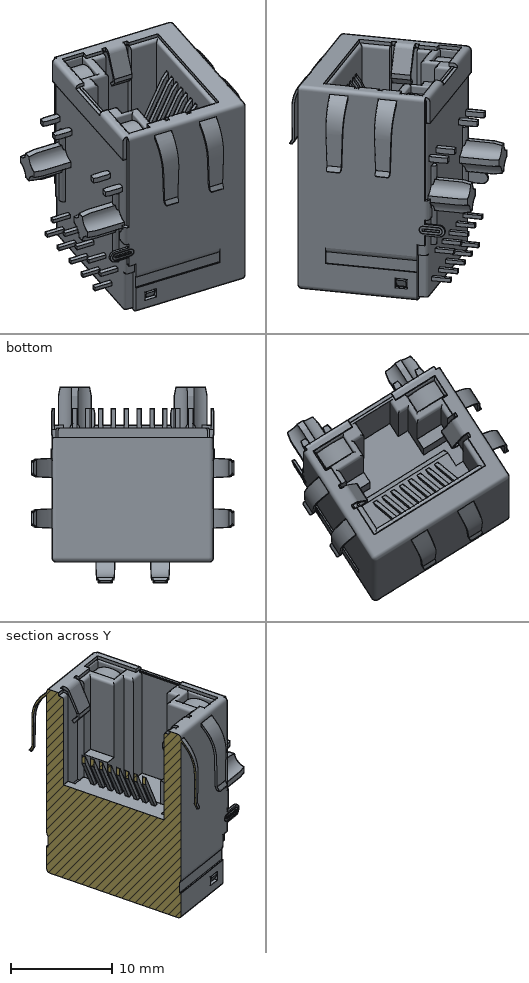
import cadquery as cq
import math


SELECT_MARGIN = 0.05

HEIGHT = 21.35
HALF_WIDTH = 7.96
BACK_Y = 13.25
SHIELD_FRONT_Y = 0.17
WALL = 0.37
BEND_RADIUS = 0.43
NOTCH_CUT_HEIGHT = 5.9
NOTCH_CUT_Y = 0.96

FLAP_HALF_WIDTH = 7.53
FLAP_FRONT_Y = -0.26
FLAP_BOTTOM_Z = 18.64
FLAP_NOTCH_HALF_WIDTH = 2.53

HOUSING_TOP_Z = HEIGHT - WALL
HOUSING_BOTTOM_Z = 0.26
HOUSING_HALF_WIDTH = HALF_WIDTH - WALL
HOUSING_STEP_Z = 4.72
HOUSING_LOWER_HALF_WIDTH = 7.35
HOUSING_EDGE_RADIUS = 0.27

WINDOW_HALF_WIDTH = 6.49
WINDOW_BACK_Y = 10.92
LED_WINDOW_HALF_WIDTH = 7.09
LED_WINDOW_FRONT_Y = 0.62
LED_WINDOW_BACK_Y = 2.94

CAVITY_HALF_WIDTH = 5.92
CAVITY_BACK_Y = 10.47
CAVITY_SHOULDER_Y = 3.66
CAVITY_MIDDLE_HALF_WIDTH = 3.12
CAVITY_MIDDLE_Y = 1.94
CAVITY_LATCH_HALF_WIDTH = 2.0
CAVITY_FRONT_Y = 0.37
MOUTH_RADIUS = 0.29
FLOOR_Z = 9.35
STEP_Z = 10.85
STEP_TOP_Y = 6.15
STEP_FOOT_Y = 5.5
LEDGE_Z = 12.5
LEDGE_BACK_Y = 4.83

CONTACT_COUNT = 8
CONTACT_PITCH = 1.02
CONTACT_WIDTH = 0.42
CONTACT_THICKNESS = 0.4
CONTACT_ROOT = (CAVITY_BACK_Y, 18.75)
CONTACT_KNEE = (9.93, 18.05)
CONTACT_TIP = (6.44, STEP_Z)

TAB_FRONT_Y = 5.26
TAB_BACK_Y = 7.23
TAB_THICKNESS = 0.25
TAB_BEND_MIDDLE = (6.3, 21.27)
TAB_BEND_END = (6.04, 21.0)
TAB_NOSE_X = 4.92
TAB_NOSE_TOP_Z = 18.7
TAB_NOSE_BOTTOM_Z = 18.2
TAB_FREE_END = (5.5, 17.5)
RELIEF_FRONT_Y = 4.86
RELIEF_BACK_Y = 7.68
RELIEF_HALF_WIDTH = 6.82
TAB_POCKET_HALF_WIDTH = 6.65
TAB_SLOT_INNER_X = 5.1

LED_INNER_X = 3.73
LED_OUTER_X = 6.9
LED_FRONT_Y = 0.84
LED_BACK_Y = 2.74
LED_FLOOR_Z = 19.0
LED_LIP_RADIUS = 0.17
LENS_EDGE_Z = 20.1
LENS_CROWN_Z = 20.6

SPRING_THICKNESS = 0.25
SPRING_REACH = 1.76
SPRING_TIP_REACH = 2.04
SPRING_ARC_RADIUS = 4.24
SPRING_ARC_ANGLE = 45
SPRING_ARC_END_Z = 17.34
SPRING_KICK_Z = 13.99
SPRING_TIP_Z = 13.49
SPRING_TOP_HALF_WIDTH = 0.955
SPRING_TIP_HALF_WIDTH = 0.71
SPRING_TIP_RADIUS = 0.3
SIDE_SPRING_Y = (3.96, 8.94)
BACK_SPRING_X = (-2.7, 2.7)

PEG_X = 5.71
PEG_Z = 10.62
PEG_HALF_SIZE = 1.63
PEG_FLUTE_OFFSET = 1.62
PEG_FLUTE_RADIUS = 1.29
PEG_END_Y = -4.01
PEG_TAPER_LENGTH = 0.88
PEG_TAPER_DEPTH = 0.17
RIB_RADIUS = 0.47
RIB_AXIS_Y = 0.02
RIB_BOTTOM_Z = 5.39
RIB_TOP_Z = 13.65

PIN_END_Y = -1.9
PIN_ROOT_DEPTH = 0.5
SIGNAL_WIDTH = 0.45
SIGNAL_HEIGHT = 0.4
SIGNAL_PITCH = 2.54
SIGNALS_PER_ROW = 5
SIGNAL_UPPER_Z = 4.25
SIGNAL_LOWER_Z = SIGNAL_UPPER_Z - SIGNAL_PITCH
LED_PIN_X = (4.09, 6.66)
LED_PIN_Z = 14.69
LED_PIN_HEIGHT = 0.55
LED_PIN_HALF_WIDTH = 0.35
LED_PIN_TIP_HALF_WIDTH = 0.26
LED_PIN_SHOULDER_Y = (-0.34, -1.46)

CLIP_BOTTOM_Z = 8.57
CLIP_TOP_Z = 10.63
CLIP_RADIUS = 0.4
CLIP_NECK_X = 7.35
CLIP_NECK_Z = 10.16
CLIP_FOOT_X = 6.82
CLIP_FOOT_Z = 9.48

LEG_Z = 7.55
LEG_WIDTH = 1.2
LEG_INNER_X = 7.72
LEG_RIM_X = 8.03
LEG_ROOT_Y = 0.7
LEG_RIDGE_WIDTH = 0.78
LEG_RIDGE_END_Y = -1.65
LEG_GROOVE_WIDTH = 0.24
LEG_GROOVE_DEPTH = 0.12

GROOVE_BACK_Y = 10.3
GROOVE_BOTTOM_Z = 3.0
GROOVE_SLOPE_Z = 4.19
GROOVE_BREAK_Z = 4.4
GROOVE_BREAK_DEPTH = 0.05
GROOVE_TOP_Z = 4.64
GROOVE_DEPTH = 0.16
LATCH_FRONT_Y = 1.96
LATCH_BACK_Y = 3.21
LATCH_BOTTOM_Z = 1.17
LATCH_TOP_Z = 2.16
LATCH_GAP = 0.13
LATCH_TIP_X = 8.05
LATCH_FOOT_X = 7.72


def block(x0, x1, y0, y1, z0, z1):
    """Box given by its limits along each axis."""
    return cq.Workplane("XY").box(x1 - x0, y1 - y0, z1 - z0, centered=False).translate((x0, y0, z0))


def wide_block(half_width, y0, y1, z0, z1):
    """Box centred on X."""
    return block(-half_width, half_width, y0, y1, z0, z1)


def both_sides(shape):
    """The shape together with its mirror image across the YZ plane."""
    return shape.union(shape.mirror("YZ"))


def xz_prism(points, y0, y1):
    """Prism with an outline in X and Z, running from y0 to y1."""
    return cq.Workplane("XZ", origin=(0, y1, 0)).polyline(points).close().extrude(y1 - y0)


def yz_prism(points, x0, x1):
    """Prism with an outline in Y and Z, running from x0 to x1."""
    return cq.Workplane("YZ", origin=(x0, 0, 0)).polyline(points).close().extrude(x1 - x0)


def make_shell():
    """Solid outer form: shield can, front flap and the housing that fills them."""
    can = wide_block(HALF_WIDTH, SHIELD_FRONT_Y, BACK_Y, 0, HEIGHT)
    can = can.edges("(|X and >Y) or (|Y and >Z) or (|Y and <Z) or (|Z and >Y)").fillet(BEND_RADIUS)
    can = can.cut(wide_block(HALF_WIDTH, SHIELD_FRONT_Y, NOTCH_CUT_Y, 0, NOTCH_CUT_HEIGHT))

    flap = wide_block(FLAP_HALF_WIDTH, FLAP_FRONT_Y, NOTCH_CUT_Y, FLAP_BOTTOM_Z, HEIGHT)
    flap = flap.edges("|X and <Y and >Z").fillet(BEND_RADIUS)

    housing_back_y = BACK_Y - WALL
    upper = wide_block(HOUSING_HALF_WIDTH, 0, housing_back_y, HOUSING_STEP_Z, HOUSING_TOP_Z)
    lower = wide_block(HOUSING_LOWER_HALF_WIDTH, 0, housing_back_y, HOUSING_BOTTOM_Z, HOUSING_STEP_Z)
    upper = upper.edges("|Z and <Y").fillet(HOUSING_EDGE_RADIUS)
    lower = lower.edges("|Z and <Y").fillet(HOUSING_EDGE_RADIUS)
    return can.union(flap).union(upper).union(lower)


def make_windows():
    """Openings through the shield at the mouth, down to the top of the housing."""
    main = wide_block(WINDOW_HALF_WIDTH, LED_WINDOW_BACK_Y, WINDOW_BACK_Y, HOUSING_TOP_Z, HEIGHT)
    leds = wide_block(LED_WINDOW_HALF_WIDTH, LED_WINDOW_FRONT_Y, LED_WINDOW_BACK_Y, HOUSING_TOP_Z, HEIGHT)
    notch = wide_block(FLAP_NOTCH_HALF_WIDTH, FLAP_FRONT_Y, LED_WINDOW_BACK_Y, HOUSING_TOP_Z, HEIGHT)
    flap_back_y = FLAP_FRONT_Y + WALL
    flap_notch = wide_block(
        FLAP_NOTCH_HALF_WIDTH, FLAP_FRONT_Y, flap_back_y, HEIGHT - BEND_RADIUS, HEIGHT
    )
    windows = main.union(leds).union(notch).union(flap_notch)
    for y0, y1 in ((RELIEF_FRONT_Y, TAB_FRONT_Y), (TAB_BACK_Y, RELIEF_BACK_Y)):
        windows = windows.union(wide_block(RELIEF_HALF_WIDTH, y0, y1, HOUSING_TOP_Z, HEIGHT))
    return windows


def make_cavity():
    """Plug cavity with stepped sides, from the floor to the top of the housing."""
    main = wide_block(CAVITY_HALF_WIDTH, CAVITY_SHOULDER_Y, CAVITY_BACK_Y, FLOOR_Z, HOUSING_TOP_Z)
    middle = wide_block(CAVITY_MIDDLE_HALF_WIDTH, CAVITY_MIDDLE_Y, CAVITY_BACK_Y, FLOOR_Z, HOUSING_TOP_Z)
    latch = wide_block(CAVITY_LATCH_HALF_WIDTH, CAVITY_FRONT_Y, CAVITY_BACK_Y, FLOOR_Z, HOUSING_TOP_Z)
    return main.union(middle).union(latch)


def make_mouth():
    """Cutter for the plug cavity, less its floor step and two shoulder ledges."""
    step = yz_prism(
        [
            (STEP_FOOT_Y, FLOOR_Z),
            (STEP_TOP_Y, STEP_Z),
            (CAVITY_BACK_Y, STEP_Z),
            (CAVITY_BACK_Y, FLOOR_Z),
        ],
        -CAVITY_HALF_WIDTH,
        CAVITY_HALF_WIDTH,
    )
    ledge = block(
        CAVITY_MIDDLE_HALF_WIDTH, CAVITY_HALF_WIDTH, CAVITY_SHOULDER_Y, LEDGE_BACK_Y, FLOOR_Z, LEDGE_Z
    )
    return make_cavity().cut(step).cut(both_sides(ledge))


def make_tab_pockets():
    """Pockets in the cavity side walls and floor step, leaving room behind the contact tabs."""
    wall_pocket = block(
        CAVITY_HALF_WIDTH, TAB_POCKET_HALF_WIDTH, RELIEF_FRONT_Y, RELIEF_BACK_Y, FLOOR_Z, HOUSING_TOP_Z
    )
    step_slot = block(
        TAB_SLOT_INNER_X, TAB_POCKET_HALF_WIDTH, STEP_FOOT_Y, RELIEF_BACK_Y, FLOOR_Z, STEP_Z
    )
    return both_sides(wall_pocket.union(step_slot))


def round_mouth_lip(body):
    """Round the edges where the cavity walls meet the top of the housing."""
    bottom_z = HOUSING_TOP_Z - SELECT_MARGIN
    top_z = HOUSING_TOP_Z + SELECT_MARGIN
    back_y = CAVITY_BACK_Y + SELECT_MARGIN
    wide_x = CAVITY_HALF_WIDTH + SELECT_MARGIN
    narrow_x = CAVITY_MIDDLE_HALF_WIDTH + SELECT_MARGIN
    wide_edges = cq.selectors.BoxSelector(
        (-wide_x, CAVITY_SHOULDER_Y - SELECT_MARGIN, bottom_z), (wide_x, back_y, top_z)
    )
    narrow_edges = cq.selectors.BoxSelector(
        (-narrow_x, CAVITY_FRONT_Y + SELECT_MARGIN, bottom_z), (narrow_x, back_y, top_z)
    )
    return body.edges(wide_edges + narrow_edges).fillet(MOUTH_RADIUS)


def make_led_pockets():
    """Straight pockets for the LEDs, either side of the plug cavity."""
    pocket = block(LED_INNER_X, LED_OUTER_X, LED_FRONT_Y, LED_BACK_Y, LED_FLOOR_Z, HOUSING_TOP_Z)
    return both_sides(pocket)


def round_led_lips(body):
    """Round the upper edges of the LED pockets."""
    for low_x, high_x in ((LED_INNER_X, LED_OUTER_X), (-LED_OUTER_X, -LED_INNER_X)):
        lip_edges = cq.selectors.BoxSelector(
            (low_x - SELECT_MARGIN, LED_FRONT_Y - SELECT_MARGIN, HOUSING_TOP_Z - SELECT_MARGIN),
            (high_x + SELECT_MARGIN, LED_BACK_Y + SELECT_MARGIN, HOUSING_TOP_Z + SELECT_MARGIN),
        )
        body = body.edges(lip_edges).fillet(LED_LIP_RADIUS)
    return body


def make_lenses():
    """Crowned LED lenses filling the pockets."""
    half_width = (LED_OUTER_X - LED_INNER_X) / 2
    middle_x = (LED_OUTER_X + LED_INNER_X) / 2
    lens = (
        cq.Workplane("XZ", origin=(middle_x, LED_BACK_Y, 0))
        .moveTo(-half_width, LED_FLOOR_Z)
        .lineTo(-half_width, LENS_EDGE_Z)
        .threePointArc((0, LENS_CROWN_Z), (half_width, LENS_EDGE_Z))
        .lineTo(half_width, LED_FLOOR_Z)
        .close()
        .extrude(LED_BACK_Y - LED_FRONT_Y)
    )
    return both_sides(lens)


def make_contacts():
    """Row of bent contact wires leaning from the back wall down to the floor step."""
    (root_y, root_z), (knee_y, knee_z), (tip_y, tip_z) = CONTACT_ROOT, CONTACT_KNEE, CONTACT_TIP
    outline = [
        (root_y, root_z),
        (knee_y, knee_z),
        (tip_y, tip_z),
        (tip_y + CONTACT_THICKNESS, tip_z),
        (knee_y + CONTACT_THICKNESS, knee_z - CONTACT_THICKNESS / 2),
        (root_y, knee_z - CONTACT_THICKNESS / 2),
    ]
    wire = yz_prism(outline, -CONTACT_WIDTH / 2, CONTACT_WIDTH / 2)
    contacts = cq.Workplane("XY")
    for i in range(CONTACT_COUNT):
        x = (i - (CONTACT_COUNT - 1) / 2) * CONTACT_PITCH
        contacts = contacts.add(wire.translate((x, 0, 0)))
    return contacts.combine()


def make_tabs():
    """Shield tabs folded down into the cavity, with the free end bent back outward."""
    t = TAB_THICKNESS
    tab = (
        cq.Workplane("XZ", origin=(0, TAB_BACK_Y, 0))
        .moveTo(RELIEF_HALF_WIDTH, HEIGHT)
        .lineTo(WINDOW_HALF_WIDTH, HEIGHT)
        .threePointArc(TAB_BEND_MIDDLE, TAB_BEND_END)
        .lineTo(TAB_NOSE_X, TAB_NOSE_TOP_Z)
        .lineTo(TAB_NOSE_X, TAB_NOSE_BOTTOM_Z)
        .lineTo(*TAB_FREE_END)
        .lineTo(TAB_FREE_END[0] + t, TAB_FREE_END[1] + t)
        .lineTo(TAB_NOSE_X + t, TAB_NOSE_BOTTOM_Z + t / 2)
        .lineTo(TAB_NOSE_X + t, TAB_NOSE_TOP_Z)
        .lineTo(TAB_BEND_END[0] + t, TAB_BEND_END[1] - t / 2)
        .lineTo(RELIEF_HALF_WIDTH, HOUSING_TOP_Z)
        .close()
        .extrude(TAB_BACK_Y - TAB_FRONT_Y)
    )
    return both_sides(tab)


def make_spring():
    """Grounding spring standing out along +X from a wall at X = 0, centred on Y = 0."""
    angle = math.radians(SPRING_ARC_ANGLE)
    inner_radius = SPRING_ARC_RADIUS - SPRING_THICKNESS
    centre_x = SPRING_REACH - SPRING_ARC_RADIUS

    def arc_point(radius, turn):
        return (centre_x + radius * math.cos(turn), SPRING_ARC_END_Z + radius * math.sin(turn))

    outer_start = arc_point(SPRING_ARC_RADIUS, angle)
    inner_start = arc_point(inner_radius, angle)
    root_run = SPRING_REACH - SPRING_ARC_RADIUS * (1 - math.cos(angle)) + WALL / 2
    root_rise = root_run / math.tan(angle)
    root_outer = (outer_start[0] - root_run, outer_start[1] + root_rise)
    root_inner = (inner_start[0] - root_run, inner_start[1] + root_rise)
    inner_x = SPRING_REACH - SPRING_THICKNESS
    kick = math.atan2(SPRING_KICK_Z - SPRING_TIP_Z, SPRING_TIP_REACH - SPRING_REACH)
    tip_inner = (
        SPRING_TIP_REACH - SPRING_THICKNESS * math.sin(kick),
        SPRING_TIP_Z - SPRING_THICKNESS * math.cos(kick),
    )
    inner_kick_z = SPRING_KICK_Z - SPRING_THICKNESS * math.tan((math.pi / 2 - kick) / 2)
    top_z = root_outer[1]
    tip_z = tip_inner[1]

    strip = (
        cq.Workplane("XZ", origin=(0, SPRING_TOP_HALF_WIDTH, 0))
        .moveTo(*root_outer)
        .lineTo(*outer_start)
        .threePointArc(arc_point(SPRING_ARC_RADIUS, angle / 2), (SPRING_REACH, SPRING_ARC_END_Z))
        .lineTo(SPRING_REACH, SPRING_KICK_Z)
        .lineTo(SPRING_TIP_REACH, SPRING_TIP_Z)
        .lineTo(*tip_inner)
        .lineTo(inner_x, inner_kick_z)
        .lineTo(inner_x, SPRING_ARC_END_Z)
        .threePointArc(arc_point(inner_radius, angle / 2), inner_start)
        .lineTo(*root_inner)
        .close()
        .extrude(2 * SPRING_TOP_HALF_WIDTH)
    )
    taper = yz_prism(
        [
            (-SPRING_TOP_HALF_WIDTH, top_z),
            (-SPRING_TIP_HALF_WIDTH, tip_z),
            (SPRING_TIP_HALF_WIDTH, tip_z),
            (SPRING_TOP_HALF_WIDTH, top_z),
        ],
        -SPRING_TIP_REACH,
        SPRING_TIP_REACH,
    )
    taper = taper.edges("|X and <Z").fillet(SPRING_TIP_RADIUS)
    return strip.intersect(taper)


def add_springs(body):
    """Two grounding springs on each side wall and two on the back wall."""
    spring = make_spring()
    for y in SIDE_SPRING_Y:
        body = body.union(both_sides(spring.translate((HALF_WIDTH, y, 0))))
    back_spring = spring.rotate((0, 0, 0), (0, 0, 1), 90)
    for x in BACK_SPRING_X:
        body = body.union(back_spring.translate((x, BACK_Y, 0)))
    return body


def make_peg():
    """Fluted locating peg with tapered end, together with its stand-off rib."""
    size = 2 * PEG_HALF_SIZE
    end_size = size - 2 * PEG_TAPER_DEPTH
    taper_y = PEG_END_Y + PEG_TAPER_LENGTH
    shank = cq.Workplane("XZ").rect(size, size).extrude(-taper_y)
    end = (
        cq.Workplane("XZ", origin=(0, taper_y, 0))
        .rect(size, size)
        .workplane(offset=PEG_TAPER_LENGTH)
        .rect(end_size, end_size)
        .loft(combine=True)
    )
    corner_pitch = 2 * PEG_FLUTE_OFFSET
    flutes = (
        cq.Workplane("XZ")
        .rarray(corner_pitch, corner_pitch, 2, 2)
        .circle(PEG_FLUTE_RADIUS)
        .extrude(-PEG_END_Y)
    )
    peg = shank.union(end).cut(flutes).translate((PEG_X, 0, PEG_Z))
    rib = (
        cq.Workplane("XY", origin=(PEG_X, RIB_AXIS_Y, RIB_BOTTOM_Z))
        .circle(RIB_RADIUS)
        .extrude(RIB_TOP_Z - RIB_BOTTOM_Z)
    )
    return peg.union(rib)


def make_signal_pins():
    """Two staggered rows of straight signal pins."""
    half_width = SIGNAL_WIDTH / 2
    half_height = SIGNAL_HEIGHT / 2
    pin = block(-half_width, half_width, PIN_END_Y, PIN_ROOT_DEPTH, -half_height, half_height)
    pins = cq.Workplane("XY")
    for i in range(SIGNALS_PER_ROW):
        x = PEG_X - i * SIGNAL_PITCH
        pins = pins.add(pin.translate((x, 0, SIGNAL_UPPER_Z)))
        pins = pins.add(pin.translate((-x, 0, SIGNAL_LOWER_Z)))
    return pins.combine()


def make_led_pins():
    """LED pins, widest between their two shoulders."""
    near_y, far_y = LED_PIN_SHOULDER_Y
    half_outline = [
        (LED_PIN_TIP_HALF_WIDTH, PIN_ROOT_DEPTH),
        (LED_PIN_TIP_HALF_WIDTH, 0),
        (LED_PIN_HALF_WIDTH, near_y),
        (LED_PIN_HALF_WIDTH, far_y),
        (LED_PIN_TIP_HALF_WIDTH, PIN_END_Y),
    ]
    outline = half_outline + [(-x, y) for x, y in reversed(half_outline)]
    pin = (
        cq.Workplane("XY", origin=(0, 0, LED_PIN_Z - LED_PIN_HEIGHT / 2))
        .polyline(outline)
        .close()
        .extrude(LED_PIN_HEIGHT)
    )
    pins = cq.Workplane("XY")
    for x in LED_PIN_X:
        pins = pins.add(pin.translate((x, 0, 0)))
    return both_sides(pins.combine())


def make_clips():
    """Shield tabs wrapped round the side edges and onto the board face."""
    outline = [
        (HALF_WIDTH, CLIP_TOP_Z),
        (CLIP_NECK_X, CLIP_TOP_Z),
        (CLIP_NECK_X, CLIP_NECK_Z),
        (CLIP_FOOT_X, CLIP_FOOT_Z),
        (CLIP_FOOT_X, CLIP_BOTTOM_Z),
        (HALF_WIDTH, CLIP_BOTTOM_Z),
    ]
    clip = xz_prism(outline, FLAP_FRONT_Y, SHIELD_FRONT_Y)
    return both_sides(clip.edges("|Z and >X and <Y").fillet(CLIP_RADIUS))


def slot_bar(x0, x1, width, y0, y1):
    """Round-ended bar along Y, centred on the ground leg height."""
    return (
        cq.Workplane("YZ", origin=(x0, (y0 + y1) / 2, LEG_Z))
        .slot2D(y1 - y0, width)
        .extrude(x1 - x0)
    )


def make_ground_legs():
    """Round-ended shield legs, each with a raised rim around a shallow groove."""
    rim_width = (LEG_RIDGE_WIDTH - LEG_GROOVE_WIDTH) / 2
    leg = slot_bar(LEG_INNER_X, HALF_WIDTH, LEG_WIDTH, PIN_END_Y, LEG_ROOT_Y + LEG_WIDTH)
    ridge = slot_bar(HALF_WIDTH, LEG_RIM_X, LEG_RIDGE_WIDTH, LEG_RIDGE_END_Y, LEG_ROOT_Y)
    groove = slot_bar(
        LEG_RIM_X - LEG_GROOVE_DEPTH,
        LEG_RIM_X,
        LEG_GROOVE_WIDTH,
        LEG_RIDGE_END_Y + rim_width,
        LEG_ROOT_Y - rim_width,
    )
    return both_sides(leg.union(ridge).cut(groove))


def make_side_grooves():
    """Shallow grooves in the side walls, open to the board side, with a sloped upper flank."""
    floor_x = HALF_WIDTH - GROOVE_DEPTH
    outline = [
        (HALF_WIDTH, GROOVE_BOTTOM_Z),
        (floor_x, GROOVE_BOTTOM_Z),
        (floor_x, GROOVE_SLOPE_Z),
        (HALF_WIDTH - GROOVE_BREAK_DEPTH, GROOVE_BREAK_Z),
        (HALF_WIDTH, GROOVE_TOP_Z),
    ]
    return both_sides(xz_prism(outline, NOTCH_CUT_Y, GROOVE_BACK_Y))


def make_latch_windows():
    """Windows through the shield sides in which the housing latches sit."""
    window = block(
        HOUSING_HALF_WIDTH, HALF_WIDTH, LATCH_FRONT_Y, LATCH_BACK_Y, LATCH_BOTTOM_Z, LATCH_TOP_Z
    )
    return both_sides(window)


def make_latches():
    """Housing latches: wedges rising toward +Z."""
    bottom_z = LATCH_BOTTOM_Z + LATCH_GAP
    top_z = LATCH_TOP_Z - LATCH_GAP
    outline = [
        (HOUSING_HALF_WIDTH, bottom_z),
        (LATCH_FOOT_X, bottom_z),
        (LATCH_TIP_X, top_z),
        (HOUSING_HALF_WIDTH, top_z),
    ]
    return both_sides(xz_prism(outline, LATCH_FRONT_Y + LATCH_GAP, LATCH_BACK_Y - LATCH_GAP))


result = make_shell().cut(make_windows())
result = round_led_lips(result.cut(make_led_pockets()))
result = round_mouth_lip(result.cut(make_mouth()))
result = result.cut(make_tab_pockets()).union(make_lenses())
result = result.union(make_contacts()).union(make_tabs())
result = add_springs(result)
result = result.union(both_sides(make_peg()))
result = result.union(make_signal_pins()).union(make_led_pins()).union(make_clips())
result = result.cut(make_side_grooves()).cut(make_latch_windows())
result = result.union(make_latches()).union(make_ground_legs())